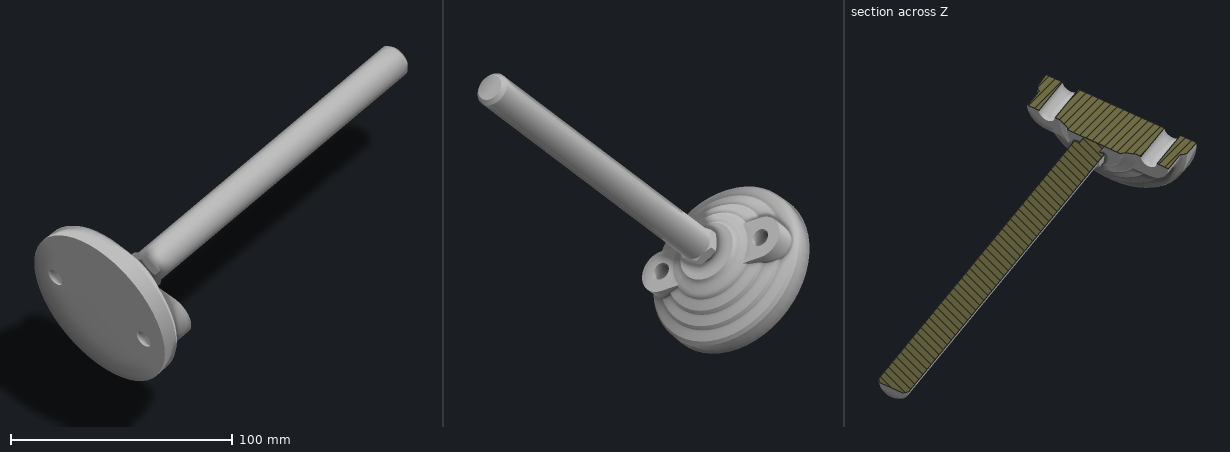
import cadquery as cq
import math

total_length = 200.0

base_diameter = 80.0
rim_height = 8.0
rim_top_diameter = 79.5
ring_rise = 1.8
ring_taper = 1.2
flank_run = 4.8
step_count = 3
crown_shoulder_radius = 20.8
crown_shoulder_height = 20.2
crown_waist_radius = 17.0
crown_waist_height = 21.8
crown_top_radius = 14.2
base_height = 24.0

boss_width = 20.8
boss_height = 20.5
bolt_hole_diameter = 8.5
bolt_hole_offset = 27.0

neck_diameter = 11.0
nut_start = 27.8
nut_height = 5.0
nut_across_flats = 16.0
nut_chamfer_angle = 30.0
rod_diameter = 16.0
rod_tip_diameter = 12.5
rod_chamfer_height = 2.0


def along_y(start):
    """Workplane at Y = start: local x is X, local y is Z, extrusion goes to +Y."""
    plane = cq.Plane(origin=(0, start, 0), xDir=(1, 0, 0), normal=(0, 1, 0))
    return cq.Workplane(plane)


def turned(profile):
    """Solid of revolution about Y from (radius, Y) points."""
    return cq.Workplane("XY").polyline(profile).close().revolve(360, (0, 0), (0, 1))


def ring_points():
    """(radius, Y) of the rings, from the top of the rim to the foot of the crown."""
    radius = rim_top_diameter / 2
    height = rim_height
    points = [(radius, height)]
    for _ in range(step_count):
        radius -= ring_taper
        height += ring_rise
        points.append((radius, height))
        radius -= flank_run
        height += ring_rise
        points.append((radius, height))
    return points


def stepped_disc():
    """Rim, rings and S-curved crown, flat on top."""
    rings = ring_points()
    crown_curve = [
        (crown_shoulder_radius, crown_shoulder_height),
        (crown_waist_radius, crown_waist_height),
        (crown_top_radius, base_height),
    ]
    return (
        cq.Workplane("XY")
        .polyline([(0, 0), (base_diameter / 2, 0), *rings])
        .spline(crown_curve, includeCurrent=True)
        .lineTo(0, base_height)
        .close()
        .revolve(360, (0, 0), (0, 1))
    )


def bolting_boss(side):
    """Round-ended boss on the side (+1 or -1) of X, running inwards to the axis."""
    round_end = along_y(0).center(side * bolt_hole_offset, 0).circle(boss_width / 2).extrude(boss_height)
    inner_web = (
        along_y(0)
        .center(side * bolt_hole_offset / 2, 0)
        .rect(bolt_hole_offset, boss_width)
        .extrude(boss_height)
    )
    return round_end.union(inner_web)


def make_base():
    base = stepped_disc()
    for side in (-1, 1):
        base = base.union(bolting_boss(side))
    for side in (-1, 1):
        hole = along_y(0).center(side * bolt_hole_offset, 0).circle(bolt_hole_diameter / 2)
        base = base.cut(hole.extrude(boss_height))
    return base


def hex_nut():
    """Hexagon with flats facing +X and -X and both ends chamfered on the corners."""
    corner_diameter = nut_across_flats / math.cos(math.radians(30))
    hexagon = along_y(nut_start).transformed(rotate=(0, 0, 90)).polygon(6, corner_diameter).extrude(nut_height)
    flat_radius = nut_across_flats / 2
    corner_radius = corner_diameter / 2
    chamfer_height = (corner_radius - flat_radius) * math.tan(math.radians(nut_chamfer_angle))
    nut_end = nut_start + nut_height
    envelope = turned([
        (0, nut_start),
        (flat_radius, nut_start),
        (corner_radius, nut_start + chamfer_height),
        (corner_radius, nut_end - chamfer_height),
        (flat_radius, nut_end),
        (0, nut_end),
    ])
    return hexagon.intersect(envelope)


def make_stud():
    nut_end = nut_start + nut_height
    neck = along_y(base_height).circle(neck_diameter / 2).extrude(nut_start - base_height)
    rod = turned([
        (0, nut_end),
        (rod_diameter / 2, nut_end),
        (rod_diameter / 2, total_length - rod_chamfer_height),
        (rod_tip_diameter / 2, total_length),
        (0, total_length),
    ])
    return neck.union(hex_nut()).union(rod)


base = make_base()
stud = make_stud()

result = cq.Compound.makeCompound([base.val(), stud.val()])